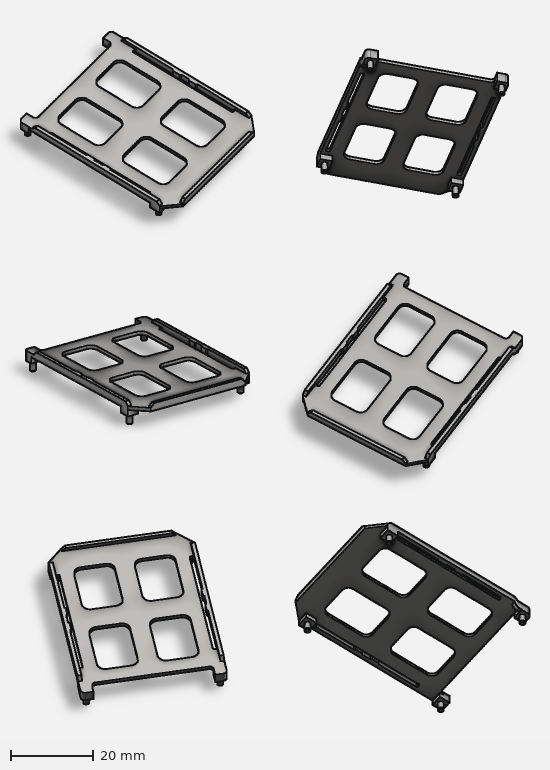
import cadquery as cq

length = 47.5
width = 36.2
half_width = width / 2
plate_thickness = 1.0
corner_radius = 1.0
corner_cut = 4.0

lug_length = 2.9
lug_width = 3.05

window_length = 14.0
window_width = 10.1
window_radius = 2.0
window_pitch_x = 19.9
window_pitch_y = 15.0
window_center_x = 23.7

rib_width = 1.0
rib_height = 1.0
rib_top = plate_thickness + rib_height
side_rib_start = 4.0
side_rib_end = length - corner_cut
end_rib_width = 0.9

slot_start = 8.25
slot_length = length - 2 * slot_start
slot_width = 1.0
slot_radius = 0.35
bump_length = 2.6
bump_depth = 0.35
bump_offset = 2.45

pad_depth = 1.7
plus_x_pad_length = 3.05
pin_diameter = 1.5
pin_length = 2.75
pin_chamfer = 0.3
pin_inset_y = 1.5
pin_xs = (1.5, 42.0)

foot_end = 5.0
foot_depth = 1.55


def make_plate():
    """Flat plate with cut +X corners, a recessed -X edge and four windows."""
    plate = (
        cq.Workplane("XY")
        .rect(length, width)
        .extrude(plate_thickness)
        .translate((length / 2, 0, 0))
    )
    plate = plate.edges("|Z and >X").chamfer(corner_cut)
    plate = plate.edges("|Z and <X").fillet(corner_radius)

    recess_width = width - 2 * lug_width
    recess = cq.Workplane("XY").rect(2 * lug_length, recess_width).extrude(plate_thickness)
    recess = recess.edges("|Z and >X").fillet(corner_radius)

    windows = (
        cq.Workplane("XY")
        .center(window_center_x, 0)
        .rarray(window_pitch_x, window_pitch_y, 2, 2)
        .rect(window_length, window_width)
        .extrude(plate_thickness)
        .edges("|Z")
        .fillet(window_radius)
    )
    return plate.cut(recess).cut(windows)


def make_slot():
    """Through slot along the inner face of the +Y side rib."""
    slot_center_y = half_width - rib_width - slot_width / 2
    return (
        cq.Workplane("XY")
        .center(length / 2, slot_center_y)
        .rect(slot_length, slot_width)
        .extrude(plate_thickness)
        .edges("|Z")
        .fillet(slot_radius)
    )


def make_side_rib():
    """+Y side rib with 45 degree ends and two bumps facing into the slot."""
    rib = (
        cq.Workplane("XZ", origin=(0, half_width, 0))
        .moveTo(side_rib_start, 0)
        .lineTo(side_rib_start, plate_thickness)
        .lineTo(side_rib_start + rib_height, rib_top)
        .lineTo(side_rib_end - rib_height, rib_top)
        .lineTo(side_rib_end, plate_thickness)
        .lineTo(side_rib_end, 0)
        .close()
        .extrude(rib_width)
    )
    inner_y = half_width - rib_width
    for side in (-1, 1):
        bump_center = length / 2 + side * bump_offset
        bump_start = bump_center - bump_length / 2
        bump_end = bump_center + bump_length / 2
        bump = (
            cq.Workplane("XY")
            .moveTo(bump_start, inner_y)
            .lineTo(bump_start + bump_depth, inner_y - bump_depth)
            .lineTo(bump_end - bump_depth, inner_y - bump_depth)
            .lineTo(bump_end, inner_y)
            .close()
            .extrude(rib_top)
        )
        rib = rib.union(bump)
    return rib


def make_end_rib():
    """Rib along the +X edge, with 45 degree ends."""
    half_base = half_width - corner_cut
    half_top = half_base - rib_height
    return (
        cq.Workplane("YZ", origin=(length - end_rib_width, 0, 0))
        .moveTo(-half_base, plate_thickness)
        .lineTo(-half_top, rib_top)
        .lineTo(half_top, rib_top)
        .lineTo(half_base, plate_thickness)
        .close()
        .extrude(end_rib_width)
    )


def make_pads():
    """Pads under the two +Y corners; the lug pad follows the rounded corner."""
    pad_center_y = half_width - lug_width / 2
    lug_pad = (
        cq.Workplane("XY")
        .center(lug_length / 2, pad_center_y)
        .rect(lug_length, lug_width)
        .extrude(-pad_depth)
        .edges("|Z and <X and >Y")
        .fillet(corner_radius)
    )
    plus_x_pad = (
        cq.Workplane("XY")
        .center(side_rib_end - plus_x_pad_length / 2, pad_center_y)
        .rect(plus_x_pad_length, lug_width)
        .extrude(-pad_depth)
    )
    return lug_pad.union(plus_x_pad)


def make_pins():
    """Chamfered locating pins below the two +Y pads."""
    pin_y = half_width - pin_inset_y
    return (
        cq.Workplane("XY", origin=(0, 0, -pad_depth))
        .pushPoints([(pin_x, pin_y) for pin_x in pin_xs])
        .circle(pin_diameter / 2)
        .extrude(-pin_length)
        .faces("<Z")
        .chamfer(pin_chamfer)
    )


def make_foot():
    """Quarter-round foot under the +Y side rib, against the lug pad."""
    return (
        cq.Workplane("XZ", origin=(0, half_width, 0))
        .moveTo(lug_length, 0)
        .lineTo(foot_end, 0)
        .radiusArc((foot_end - foot_depth, -foot_depth), foot_depth)
        .lineTo(lug_length, -foot_depth)
        .close()
        .extrude(rib_width)
    )


def make_side():
    """Everything added along the +Y side that also appears mirrored at -Y."""
    return make_side_rib().union(make_pads()).union(make_pins())


slot = make_slot()
side = make_side()

result = (
    make_plate()
    .cut(slot)
    .cut(slot.mirror("XZ"))
    .union(side)
    .union(side.mirror("XZ"))
    .union(make_end_rib())
    .union(make_foot())
)